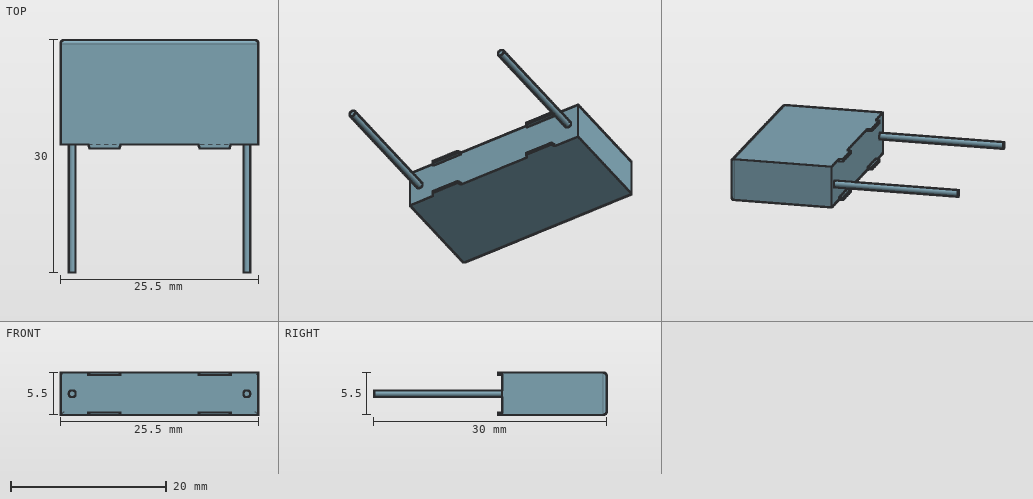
import cadquery as cq

total_depth = 30.0

case_length = 25.5
case_depth = 13.5
case_thickness = 5.5
edge_radius = 0.5

foot_root_length = 4.2
foot_height = 0.5
foot_thickness = 0.3
foot_taper = 0.18
foot_pitch = 14.2

lead_diameter = 0.9
lead_pitch = 22.5
lead_length = total_depth - case_depth


def make_foot(center_x, bottom_z):
    """A thin foot that narrows away from the front face."""
    half_root = foot_root_length / 2
    half_tip = half_root - foot_taper
    outline = [
        (-half_root, 0),
        (half_root, 0),
        (half_tip, -foot_height),
        (-half_tip, -foot_height),
    ]
    return (
        cq.Workplane("XY", origin=(center_x, 0, bottom_z))
        .polyline(outline)
        .close()
        .extrude(foot_thickness)
    )


def make_case():
    """The block with a rounded back rim and four feet on its front face."""
    case_block = (
        cq.Workplane("XY")
        .box(case_length, case_depth, case_thickness, centered=(True, False, True))
        .faces(">Y")
        .edges()
        .fillet(edge_radius)
    )
    half_thickness = case_thickness / 2
    for center_x in (-foot_pitch / 2, foot_pitch / 2):
        for bottom_z in (-half_thickness, half_thickness - foot_thickness):
            case_block = case_block.union(make_foot(center_x, bottom_z))
    return case_block


def make_lead(center_x):
    """A straight round wire that butts against the front face."""
    return (
        cq.Workplane("XZ")
        .center(center_x, 0)
        .circle(lead_diameter / 2)
        .extrude(lead_length)
    )


case = make_case()
leads = [make_lead(center_x) for center_x in (-lead_pitch / 2, lead_pitch / 2)]

result = cq.Compound.makeCompound([case.val(), *[lead.val() for lead in leads]])